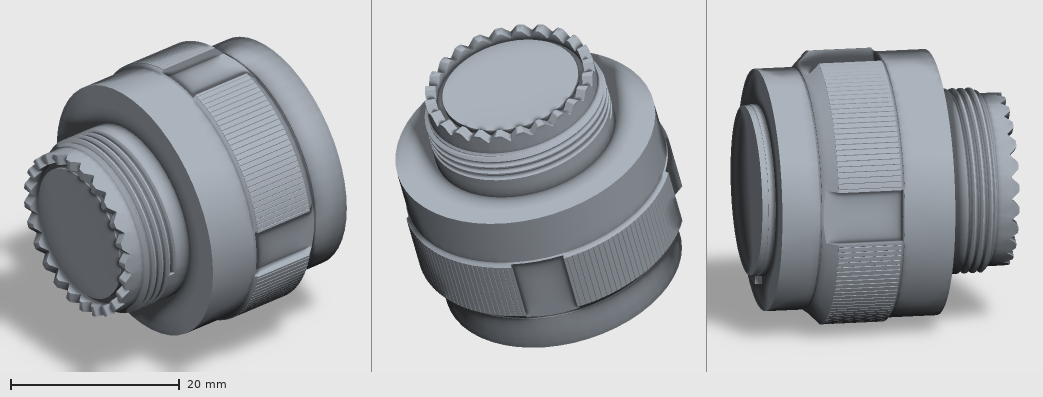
import math

import cadquery as cq


nose_end = 2.54
thread_end = 6.45
flange_start = 8.8
flange_end = 14.87
flat_start = 15.06
collar_start = 15.31
collar_end = 22.87
groove_start = 24.62
groove_end = 24.87
rear_body_end = 29.4
rear_step_end = 30.25
total_length = 31.0

nose_radius = 10.27
shank_radius = 11.0
flange_radius = 15.8
collar_radius = 16.25
rear_body_radius = 14.4
groove_radius = 14.3
rear_step_radius = 10.2
rear_end_radius = 10.1

recess_radius = 9.0
recess_depth = 1.4
disc_radius = 8.25
disc_height = 0.7

tooth_count = 24
notch_depth = 0.87
notch_root_width = 0.12
tooth_edge_radius = 0.29

thread_pitch = 1.0
thread_depth = 0.5
thread_mouth_width = 0.8
thread_root_width = 0.2
thread_start = 2.42
thread_overcut = 0.2

knurl_pitch_angle = 2.4
knurls_per_quadrant = 28
knurl_width = 0.12
knurl_depth = 0.07
side_count = 4
flat_width = 6.4
flat_distance = 14.55

collar_overlap = 1.0

key_width = 3.0
key_reach = 11.1


def make_body():
    """Revolve the stepped outline of the whole part, without thread, teeth or collar."""
    shank_chamfer = shank_radius - nose_radius
    outline = [
        (0, 0),
        (nose_radius, 0),
        (nose_radius, nose_end),
        (shank_radius, nose_end + shank_chamfer),
        (shank_radius, flange_start),
        (flange_radius, flange_start),
        (flange_radius, flange_end),
        (groove_radius, flange_end),
        (groove_radius, groove_end),
        (rear_body_radius, groove_end),
        (rear_body_radius, rear_body_end),
        (rear_step_radius, rear_body_end),
        (rear_step_radius, rear_step_end),
        (rear_end_radius, rear_step_end),
        (rear_end_radius, total_length),
        (0, total_length),
    ]
    return cq.Workplane("XZ").polyline(outline).close().revolve(360, (0, 0, 0), (0, 1, 0))


def make_collar():
    """Knurled ring with four flats; both ends taper at 45 degrees from the knurl roots."""
    root_radius = collar_radius - knurl_depth
    foot_radius = root_radius - (collar_start - flange_end)
    shoulder_radius = root_radius - (groove_start - collar_end)
    inner_radius = groove_radius - collar_overlap
    outline = [
        (inner_radius, flange_end),
        (foot_radius, flange_end),
        (root_radius, collar_start),
        (collar_radius, collar_start),
        (collar_radius, collar_end),
        (root_radius, collar_end),
        (shoulder_radius, groove_start),
        (inner_radius, groove_start),
    ]
    collar = cq.Workplane("XZ").polyline(outline).close().revolve(360, (0, 0, 0), (0, 1, 0))
    return collar.cut(make_flat_cutters()).cut(make_knurl_cutters())


def make_flat_cutters():
    """Blocks that cut the flats, one on each side of the collar."""
    thickness = collar_radius
    cutters = cq.Workplane("XY").workplane(offset=flat_start)
    cutters = cutters.polarArray(flat_distance + thickness / 2, 0, 360, side_count)
    return cutters.rect(thickness, flat_width).extrude(groove_start - flat_start)


def make_knurl_cutters():
    """V-shaped prisms along the collar, centred in each quarter between two flats."""
    root = collar_radius - knurl_depth
    mouth = collar_radius + knurl_depth
    quadrant_angle = 360 / side_count
    half_angle = knurl_width / collar_radius
    first_angle = quadrant_angle / 2 - knurl_pitch_angle * (knurls_per_quadrant - 1) / 2
    cutters = cq.Workplane("XY").workplane(offset=collar_start)
    for quadrant in range(side_count):
        for index in range(knurls_per_quadrant):
            angle = math.radians(quadrant * quadrant_angle + first_angle + index * knurl_pitch_angle)
            corners = [
                (root * math.cos(angle), root * math.sin(angle)),
                (mouth * math.cos(angle + half_angle), mouth * math.sin(angle + half_angle)),
                (mouth * math.cos(angle - half_angle), mouth * math.sin(angle - half_angle)),
            ]
            cutters = cutters.polyline(corners).close()
    return cutters.extrude(collar_end - collar_start)


def cut_thread(body):
    """Sweep a trapezoid along a right-handed helix to cut the thread groove."""
    helix = cq.Wire.makeHelix(
        thread_pitch, thread_end - thread_start, shank_radius, cq.Vector(0, 0, thread_start)
    )
    flank_slope = (thread_mouth_width - thread_root_width) / (2 * thread_depth)
    outer_half = thread_mouth_width / 2 + flank_slope * thread_overcut
    root_half = thread_root_width / 2
    root_radius = shank_radius - thread_depth
    outer_radius = shank_radius + thread_overcut
    groove = (
        cq.Workplane("XZ")
        .polyline([
            (root_radius, thread_start - root_half),
            (root_radius, thread_start + root_half),
            (outer_radius, thread_start + outer_half),
            (outer_radius, thread_start - outer_half),
        ])
        .close()
        .sweep(cq.Workplane(obj=helix), isFrenet=True)
    )
    return body.cut(groove)


def cut_tip(body):
    """Hollow the tip, leave the disc on the recess floor and notch the rim into teeth."""
    recess = cq.Workplane("XY").circle(recess_radius).extrude(recess_depth)
    disc = cq.Workplane("XY").workplane(offset=recess_depth - disc_height)
    disc = disc.circle(disc_radius).extrude(disc_height)
    body = body.cut(recess.cut(disc))

    notch = make_notch()
    for index in range(tooth_count):
        body = body.cut(notch.rotate((0, 0, 0), (0, 0, 1), index * 360 / tooth_count))
    return body


def make_notch():
    """Notch through the rim along +X, with its mouth edges blended into the tip face."""
    flank = math.radians(45)
    root_half = notch_root_width / 2
    sharp_mouth_half = root_half + notch_depth / math.tan(flank)
    blend_half = sharp_mouth_half + tooth_edge_radius * math.tan(flank / 2)

    def edge_point(angle):
        """Half width and height on the rounded edge, at an angle from the tip face."""
        half_width = blend_half - tooth_edge_radius * math.sin(angle)
        height = tooth_edge_radius * (1 - math.cos(angle))
        return half_width, height

    middle_half, middle_height = edge_point(flank / 2)
    flank_half, flank_height = edge_point(flank)
    inner = (recess_radius + disc_radius) / 2
    return (
        cq.Workplane("YZ", origin=(inner, 0, 0))
        .moveTo(-blend_half, 0)
        .threePointArc((-middle_half, middle_height), (-flank_half, flank_height))
        .lineTo(-root_half, notch_depth)
        .lineTo(root_half, notch_depth)
        .lineTo(flank_half, flank_height)
        .threePointArc((middle_half, middle_height), (blend_half, 0))
        .close()
        .extrude(shank_radius - inner)
    )


def make_key():
    """Radial key under the rear step, on the side that ends up facing -Z."""
    key = cq.Workplane("XY").workplane(offset=rear_body_end)
    key = key.center(0, key_reach / 2).rect(key_width, key_reach)
    return key.extrude(rear_step_end - rear_body_end)


body = cut_tip(cut_thread(make_body()))
upright = body.union(make_collar()).union(make_key())
result = upright.rotate((0, 0, 0), (1, 0, 0), -90)